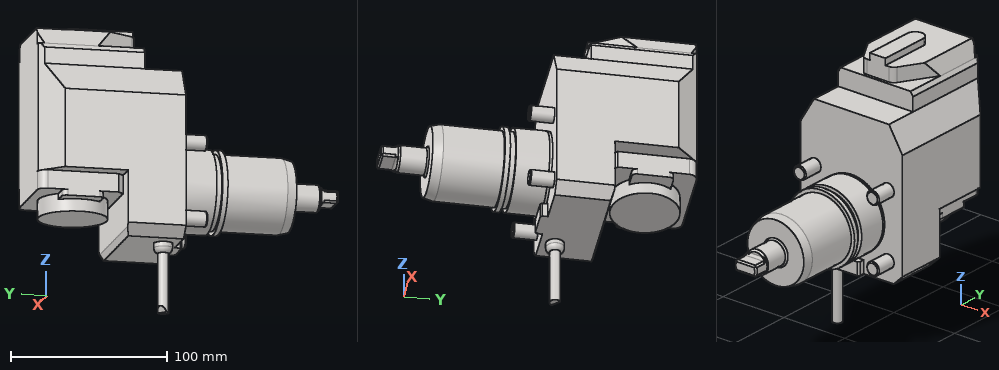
import cadquery as cq


HALF_WIDTH = 42.0
REAR_Y = 93.8
FOOT_REAR_Y = 38.0
FOOT_BOTTOM_Z = -40.0
FOOT_CHAMFER = 7.3
FOOT_REAR_SETBACK = 1.6
FOOT_REAR_RISE = 5.2
BODY_BOTTOM_Z = 1.6
SHOULDER_BOTTOM_Z = 53.0
SHOULDER_TOP_Z = 71.6
REAR_CORNER_CHAMFER = 14.5

NECK_HALF_WIDTH = 30.9
NECK_FRONT_Y = 24.5
NECK_TOP_Z = 85.5
NECK_CHAMFER_WIDTH = 2.0
NECK_CHAMFER_HEIGHT = 3.2

CAP_FRONT_Y = 26.6
CAP_TOP_Z = 96.5
CAP_TOP_HALF_WIDTH = 23.5
CAP_BOTTOM_HALF_WIDTH = 28.9
CAP_NOSE_HALF_WIDTH = 12.1
CAP_SIDE_START_Y = 54.5
CAP_NOSE_RADIUS = 5.5
CAP_REAR_CHAMFER = 3.8
KEY_WIDTH = 13.0
KEY_REAR_Y = 71.2
KEY_TOP_Z = 101.5

PLATE_REAR_RADIUS = 5.7
PLATE_FRONT_CHAMFER = 3.8
PLATE_BOTTOM_Z = -10.5
OUTPUT_Y = 64.8
OUTPUT_DIAMETER = 45.0
OUTPUT_BOTTOM_Z = -22.5
TONGUE_LENGTH = 27.0
TONGUE_BOTTOM_Z = -14.3
TONGUE_RADIUS = 3.0

RELIEF_RADIUS = 54.7 / 2
COLLAR_RADIUS = 55.0 / 2
SHANK_RADIUS = 49.6 / 2
SHANK_END_RADIUS = 23.2
SHAFT_RADIUS = 18.0 / 2
RELIEF_END_Y = -1.8
COLLAR_END_Y = -23.6
RING_START_Y = -27.5
RING_END_Y = -30.9
CONE_START_Y = -70.6
SHANK_END_Y = -77.0
SHAFT_ROOT_CHAMFER = 1.2
SHAFT_END_Y = -96.9
SHAFT_END_CHAMFER = 1.5
TANG_END_Y = -108.0
TANG_HALF_THICKNESS = 4.0
TANG_ROOT_RADIUS = 1.8
TANG_END_CHAMFER = 1.2
TANG_FLAT_HALF_WIDTH = 7.3

SCREW_DIAMETER = 10.0
SCREW_X = 30.0
SCREW_Z = 25.0
SCREW_LENGTH = 16.0
SCREW_CHAMFER = 0.8

LOCATOR_WIDTH = 20.2
LOCATOR_TOP_Z = -30.0
LOCATOR_DEPTH = 4.8
LOCATOR_CHAMFER = 1.2

TUBE_X = -19.5
TUBE_Y = 9.9
TUBE_DIAMETER = 7.0
TUBE_END_Z = -85.5
TUBE_CUT_HEIGHT = 4.0
TUBE_CUT_DEPTH = 2.5
NUT_DIAMETER = 12.1
NUT_STRAIGHT = 2.8
NUT_LENGTH = 6.7


def box(x_range, y_range, z_range):
    """Axis-aligned box between the given limits."""
    (x0, x1), (y0, y1), (z0, z1) = x_range, y_range, z_range
    return cq.Workplane("XY").box(x1 - x0, y1 - y0, z1 - z0, centered=False).translate((x0, y0, z0))


def mirrored_x(half_outline):
    """Close a right-hand half outline with its mirror image about X = 0."""
    return half_outline + [(-x, v) for x, v in reversed(half_outline)]


def along_y(outline_xz, front_y, rear_y):
    """Prism of an XZ outline between two Y positions."""
    return cq.Workplane("XZ", origin=(0, front_y, 0)).polyline(outline_xz).close().extrude(front_y - rear_y)


def along_x(outline_yz, half_width):
    """Prism of a YZ outline, centred on X = 0."""
    return cq.Workplane("YZ").polyline(outline_yz).close().extrude(half_width, both=True)


def make_housing():
    section = mirrored_x([
        (HALF_WIDTH - FOOT_CHAMFER, FOOT_BOTTOM_Z),
        (HALF_WIDTH, FOOT_BOTTOM_Z + FOOT_CHAMFER),
        (HALF_WIDTH, SHOULDER_BOTTOM_Z),
        (NECK_HALF_WIDTH, SHOULDER_TOP_Z),
    ])
    side_profile = [
        (0, FOOT_BOTTOM_Z),
        (FOOT_REAR_Y - FOOT_REAR_SETBACK, FOOT_BOTTOM_Z),
        (FOOT_REAR_Y, FOOT_BOTTOM_Z + FOOT_REAR_RISE),
        (FOOT_REAR_Y, BODY_BOTTOM_Z),
        (REAR_Y, BODY_BOTTOM_Z),
        (REAR_Y, SHOULDER_TOP_Z),
        (0, SHOULDER_TOP_Z),
    ]
    return along_y(section, 0, REAR_Y).intersect(along_x(side_profile, HALF_WIDTH))


def make_neck():
    section = mirrored_x([
        (NECK_HALF_WIDTH, SHOULDER_TOP_Z),
        (NECK_HALF_WIDTH, NECK_TOP_Z - NECK_CHAMFER_HEIGHT),
        (NECK_HALF_WIDTH - NECK_CHAMFER_WIDTH, NECK_TOP_Z),
    ])
    return along_y(section, NECK_FRONT_Y, REAR_Y)


def make_cap():
    section = mirrored_x([
        (CAP_BOTTOM_HALF_WIDTH, NECK_TOP_Z),
        (CAP_TOP_HALF_WIDTH, CAP_TOP_Z),
    ])
    plan = mirrored_x([
        (CAP_NOSE_HALF_WIDTH, CAP_FRONT_Y),
        (CAP_BOTTOM_HALF_WIDTH, CAP_SIDE_START_Y),
        (CAP_BOTTOM_HALF_WIDTH, REAR_Y - CAP_REAR_CHAMFER),
        (CAP_BOTTOM_HALF_WIDTH - CAP_REAR_CHAMFER, REAR_Y),
    ])
    nose = cq.Workplane("XY", origin=(0, 0, NECK_TOP_Z)).polyline(plan).close()
    nose = nose.extrude(CAP_TOP_Z - NECK_TOP_Z)
    nose = nose.faces("<Y").edges("|Z").fillet(CAP_NOSE_RADIUS)
    return along_y(section, CAP_FRONT_Y, REAR_Y).intersect(nose)


def make_cap_key():
    """Straight key across the cap, rounded at its rear end."""
    half_width = KEY_WIDTH / 2
    round_y = KEY_REAR_Y - half_width
    outline = (
        cq.Workplane("XY", origin=(0, 0, NECK_TOP_Z))
        .moveTo(-half_width, CAP_FRONT_Y)
        .lineTo(half_width, CAP_FRONT_Y)
        .lineTo(half_width, round_y)
        .threePointArc((0, KEY_REAR_Y), (-half_width, round_y))
        .close()
    )
    return outline.extrude(KEY_TOP_Z - NECK_TOP_Z)


def cut_rear_corners(solid):
    """Chamfer both vertical rear corners of the housing, neck and cap with one plane each."""
    reach = REAR_CORNER_CHAMFER
    for side in (-1, 1):
        corner = [
            (side * HALF_WIDTH, REAR_Y),
            (side * (HALF_WIDTH - reach), REAR_Y),
            (side * HALF_WIDTH, REAR_Y - reach),
        ]
        wedge = cq.Workplane("XY", origin=(0, 0, BODY_BOTTOM_Z)).polyline(corner).close()
        solid = solid.cut(wedge.extrude(KEY_TOP_Z - BODY_BOTTOM_Z))
    return solid


def make_output_end():
    side = (-NECK_HALF_WIDTH, NECK_HALF_WIDTH)
    plate = box(side, (FOOT_REAR_Y, REAR_Y), (PLATE_BOTTOM_Z, BODY_BOTTOM_Z))
    plate = plate.faces(">Y").edges("|Z").fillet(PLATE_REAR_RADIUS)
    plate = plate.faces("<Y").edges("|Z").chamfer(PLATE_FRONT_CHAMFER)
    tongue_y = (OUTPUT_Y - TONGUE_LENGTH / 2, OUTPUT_Y + TONGUE_LENGTH / 2)
    tongue = box(side, tongue_y, (TONGUE_BOTTOM_Z, PLATE_BOTTOM_Z)).edges("|Z").fillet(TONGUE_RADIUS)
    boss = cq.Workplane("XY", origin=(0, OUTPUT_Y, OUTPUT_BOTTOM_Z)).circle(OUTPUT_DIAMETER / 2)
    return plate.union(tongue).union(boss.extrude(BODY_BOTTOM_Z - OUTPUT_BOTTOM_Z))


def make_shank():
    profile = [
        (0, 0),
        (RELIEF_RADIUS, 0),
        (RELIEF_RADIUS, RELIEF_END_Y),
        (COLLAR_RADIUS, RELIEF_END_Y),
        (COLLAR_RADIUS, COLLAR_END_Y),
        (SHANK_RADIUS, COLLAR_END_Y),
        (SHANK_RADIUS, RING_START_Y),
        (COLLAR_RADIUS, RING_START_Y),
        (COLLAR_RADIUS, RING_END_Y),
        (SHANK_RADIUS, RING_END_Y),
        (SHANK_RADIUS, CONE_START_Y),
        (SHANK_END_RADIUS, SHANK_END_Y),
        (SHAFT_RADIUS + SHAFT_ROOT_CHAMFER, SHANK_END_Y),
        (SHAFT_RADIUS, SHANK_END_Y - SHAFT_ROOT_CHAMFER),
        (SHAFT_RADIUS, SHAFT_END_Y + SHAFT_END_CHAMFER),
        (SHAFT_RADIUS - SHAFT_END_CHAMFER, SHAFT_END_Y),
        (0, SHAFT_END_Y),
    ]
    return cq.Workplane("XY").polyline(profile).close().revolve(360, (0, 0), (0, 1))


def make_tang():
    """Flat drive tang: a round bar trimmed to two flats that flare into the shaft end."""
    bar = cq.Workplane("XZ", origin=(0, SHAFT_END_Y, 0)).circle(SHAFT_RADIUS)
    bar = bar.extrude(SHAFT_END_Y - TANG_END_Y).faces("<Y").chamfer(TANG_END_CHAMFER)
    flare_z = TANG_HALF_THICKNESS + TANG_ROOT_RADIUS
    flare_y = SHAFT_END_Y - TANG_ROOT_RADIUS
    bevel_y = TANG_END_Y + TANG_END_CHAMFER
    bevel_z = TANG_HALF_THICKNESS - TANG_END_CHAMFER
    flats = (
        cq.Workplane("YZ")
        .moveTo(SHAFT_END_Y, flare_z)
        .radiusArc((flare_y, TANG_HALF_THICKNESS), TANG_ROOT_RADIUS)
        .lineTo(bevel_y, TANG_HALF_THICKNESS)
        .lineTo(TANG_END_Y, bevel_z)
        .lineTo(TANG_END_Y, -bevel_z)
        .lineTo(bevel_y, -TANG_HALF_THICKNESS)
        .lineTo(flare_y, -TANG_HALF_THICKNESS)
        .radiusArc((SHAFT_END_Y, -flare_z), TANG_ROOT_RADIUS)
        .close()
        .extrude(SHAFT_RADIUS, both=True)
    )
    tang = bar.intersect(flats)
    bevel = SHAFT_RADIUS - TANG_FLAT_HALF_WIDTH
    for side in (-1, 1):
        for face in (-1, 1):
            corner = [
                (side * TANG_FLAT_HALF_WIDTH, face * TANG_HALF_THICKNESS),
                (side * SHAFT_RADIUS, face * TANG_HALF_THICKNESS),
                (side * SHAFT_RADIUS, face * (TANG_HALF_THICKNESS - bevel)),
            ]
            tang = tang.cut(along_y(corner, TANG_END_Y, flare_y))
    return tang


def make_screws():
    positions = [(x, z) for x in (-SCREW_X, SCREW_X) for z in (-SCREW_Z, SCREW_Z)]
    screws = cq.Workplane("XZ").pushPoints(positions).circle(SCREW_DIAMETER / 2).extrude(SCREW_LENGTH)
    return screws.faces("<Y").chamfer(SCREW_CHAMFER)


def make_locator():
    half_width = LOCATOR_WIDTH / 2
    block = box((-half_width, half_width), (-LOCATOR_DEPTH, 0), (FOOT_BOTTOM_Z, LOCATOR_TOP_Z))
    return block.faces("<Y").edges("|Z").chamfer(LOCATOR_CHAMFER)


def make_coolant_tube():
    nut_radius = NUT_DIAMETER / 2
    tube_radius = TUBE_DIAMETER / 2
    nut_bottom_z = FOOT_BOTTOM_Z - NUT_LENGTH
    tube = (
        cq.Workplane("XZ")
        .moveTo(0, FOOT_BOTTOM_Z)
        .lineTo(nut_radius, FOOT_BOTTOM_Z)
        .lineTo(nut_radius, FOOT_BOTTOM_Z - NUT_STRAIGHT)
        .tangentArcPoint((tube_radius, nut_bottom_z), relative=False)
        .lineTo(tube_radius, TUBE_END_Z)
        .lineTo(0, TUBE_END_Z)
        .close()
        .revolve(360, (0, 0), (0, 1))
    )
    wedge = [
        (-tube_radius, TUBE_END_Z),
        (-tube_radius, TUBE_END_Z + TUBE_CUT_HEIGHT),
        (TUBE_CUT_DEPTH - tube_radius, TUBE_END_Z),
    ]
    cut = cq.Workplane("XZ").polyline(wedge).close().extrude(tube_radius, both=True)
    cut = cut.rotate((0, 0, 0), (0, 0, 1), -45)
    return tube.cut(cut).translate((TUBE_X, TUBE_Y, 0))


result = cut_rear_corners(make_housing().union(make_neck()).union(make_cap()).union(make_cap_key()))
for feature in (
    make_output_end(),
    make_shank(),
    make_tang(),
    make_screws(),
    make_locator(),
    make_coolant_tube(),
):
    result = result.union(feature)